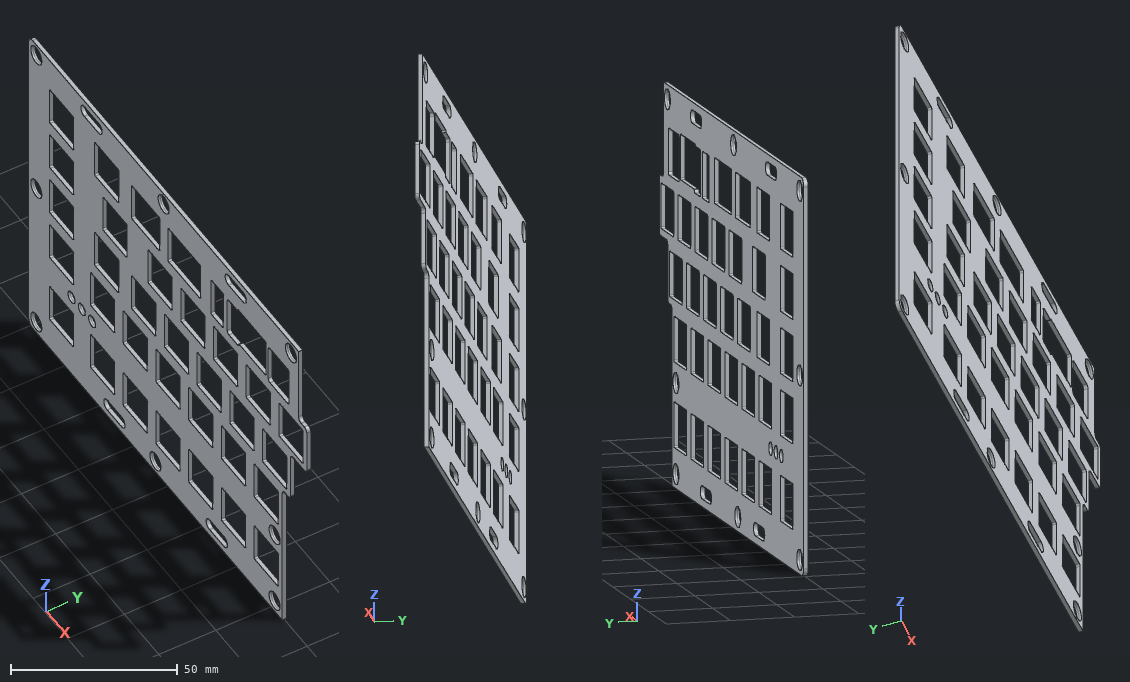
import cadquery as cq

width = 162.0
height = 121.99
thickness = 1.5
cutter_depth = 2 * thickness

key_unit = 19.05
quarter_unit = key_unit / 4
eighth_unit = key_unit / 8
switch_size = 13.95
switch_corner_radius = 0.5
key_margin = 9.3

top_edge_x = width - quarter_unit
second_row_edge_x = width - 2 * quarter_unit
lower_edge_x = width - 3 * quarter_unit
outer_corner_radius = 2.5
step_corner_radius = 1.5

bottom_row_z = 19.3
first_row_z = 45.5
second_row_z = first_row_z + key_unit
third_row_z = second_row_z + key_unit
top_row_z = third_row_z + key_unit
row_heights = [bottom_row_z, first_row_z, second_row_z, third_row_z, top_row_z]

left_column_x = 19.2
first_key_x = 43.1
keys_in_lower_rows = 6
second_row_start_x = 67.05
third_row_start_x = second_row_start_x + key_unit / 2
wide_modifier_x = first_key_x + eighth_unit
wider_modifier_x = first_key_x + 3 * eighth_unit

screw_diameter = 6.3
screw_inset = 4.5
indicator_diameter = 4.0
indicator_pitch = 6.0
indicator_middle_x = 31.0
gap_row_z = (bottom_row_z + first_row_z) / 2

slot_length = 12.3
slot_width = 4.0
top_slot_half_spacing = 42.0
bottom_slot_middle_x = 79.8
bottom_slot_half_spacing = 29.8

medium_opening_width = 16.4
medium_opening_x = 68.2
wide_opening_width = 18.8
wide_opening_x = 90.6
tall_opening_height = 14.4
tall_opening_z = 101.8
narrow_opening_width = 7.0
narrow_opening_x = 109.8
right_opening_width = 12.1
right_opening_x = 145.6
tall_opening_radius = 1.0
joined_opening_left_x = 115.7
joined_opening_step_x = 122.6
joined_opening_right_x = 138.2


def box_cutter(x, z, size_x, size_z, radius):
    """Rectangular cutter through the plate, centred at (x, z), with rounded corners."""
    cutter = cq.Workplane("XY").box(size_x, cutter_depth, size_z).edges("|Y").fillet(radius)
    return cutter.translate((x, 0, z))


def switch_cutter(x, z):
    return box_cutter(x, z, switch_size, switch_size, switch_corner_radius)


def round_cutter(x, z, diameter):
    cutter = cq.Workplane("XZ").circle(diameter / 2).extrude(cutter_depth / 2, both=True)
    return cutter.translate((x, 0, z))


def slot_cutter(x, z):
    cutter = cq.Workplane("XZ").slot2D(slot_length, slot_width).extrude(cutter_depth / 2, both=True)
    return cutter.translate((x, 0, z))


def make_blank():
    """Plate outline with its stepped right edge, centred on Y = 0."""
    tab_top_z = third_row_z + key_margin
    tab_bottom_z = third_row_z - key_margin
    second_row_bottom_z = second_row_z - key_margin
    steps = [
        (lower_edge_x, second_row_bottom_z),
        (second_row_edge_x, second_row_bottom_z),
        (second_row_edge_x, tab_bottom_z),
        (width, tab_bottom_z),
        (width, tab_top_z),
        (top_edge_x, tab_top_z),
    ]
    outline = [(0, 0), (lower_edge_x, 0)] + steps + [(top_edge_x, height), (0, height)]
    blank = cq.Workplane("XZ").polyline(outline).close().extrude(thickness / 2, both=True)
    blank = blank.edges("|Y and <X").fillet(outer_corner_radius)
    for x, z in steps:
        corner = cq.selectors.NearestToPointSelector((x, 0, z))
        blank = blank.edges("|Y").edges(corner).fillet(step_corner_radius)
    return blank


def switch_cutters():
    centres = [(left_column_x, z) for z in row_heights]
    for i in range(keys_in_lower_rows):
        centres.append((first_key_x + i * key_unit, bottom_row_z))
        centres.append((first_key_x + i * key_unit, first_row_z))
    for i in range(keys_in_lower_rows - 1):
        centres.append((second_row_start_x + i * key_unit, second_row_z))
        centres.append((third_row_start_x + i * key_unit, third_row_z))
    centres.append((wide_modifier_x, second_row_z))
    centres.append((wider_modifier_x, third_row_z))
    centres.append((wide_modifier_x, top_row_z))
    return [switch_cutter(x, z) for x, z in centres]


def joined_opening_cutters():
    """A tall rounded opening overlapping the wide opening to its right."""
    overlap = 2 * switch_corner_radius
    tall_width = joined_opening_step_x - joined_opening_left_x
    tall_x = joined_opening_left_x + tall_width / 2
    wide_left_x = joined_opening_step_x - overlap
    wide_width = joined_opening_right_x - wide_left_x
    wide_x = wide_left_x + wide_width / 2
    return [
        box_cutter(tall_x, tall_opening_z, tall_width, tall_opening_height, tall_opening_radius),
        box_cutter(wide_x, top_row_z, wide_width, switch_size, switch_corner_radius),
    ]


def top_row_cutters():
    return [
        box_cutter(medium_opening_x, top_row_z, medium_opening_width, switch_size, switch_corner_radius),
        box_cutter(wide_opening_x, top_row_z, wide_opening_width, switch_size, switch_corner_radius),
        box_cutter(narrow_opening_x, tall_opening_z, narrow_opening_width, tall_opening_height,
                   switch_corner_radius),
        box_cutter(right_opening_x, tall_opening_z, right_opening_width, tall_opening_height,
                   tall_opening_radius),
    ] + joined_opening_cutters()


def screw_cutters():
    top_right_x = top_edge_x - screw_inset
    lower_right_x = lower_edge_x - screw_inset
    top_z = height - screw_inset
    centres = [
        (screw_inset, screw_inset),
        ((screw_inset + lower_right_x) / 2, screw_inset),
        (lower_right_x, screw_inset),
        (lower_right_x, gap_row_z),
        (screw_inset, height / 2),
        (screw_inset, top_z),
        ((screw_inset + top_right_x) / 2, top_z),
        (top_right_x, top_z),
    ]
    return [round_cutter(x, z, screw_diameter) for x, z in centres]


def indicator_cutters():
    return [
        round_cutter(indicator_middle_x + i * indicator_pitch, gap_row_z, indicator_diameter)
        for i in (-1, 0, 1)
    ]


def slot_cutters():
    top_slot_middle_x = top_edge_x / 2
    cutters = []
    for side in (-1, 1):
        cutters.append(slot_cutter(top_slot_middle_x + side * top_slot_half_spacing, height - screw_inset))
        cutters.append(slot_cutter(bottom_slot_middle_x + side * bottom_slot_half_spacing, screw_inset))
    return cutters


cutters = switch_cutters() + top_row_cutters() + screw_cutters() + indicator_cutters() + slot_cutters()
plate = make_blank().val().cut(*[cutter.val() for cutter in cutters])
result = cq.Workplane("XY").newObject(plate.Solids())